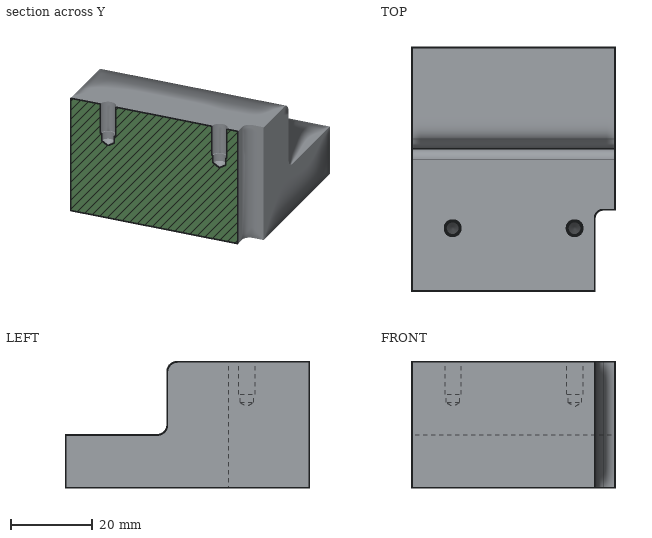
import cadquery as cq
import math

LENGTH_X = 49.95
LENGTH_Y = 60.0
HEIGHT = 31.0
LEDGE_HEIGHT = 13.0
LEDGE_DEPTH = 25.0
STEP_RADIUS = 2.5

NOTCH_X = 45.0
NOTCH_Y = 20.0
NOTCH_RADIUS = 2.0

HOLE_X_POSITIONS = (10.0, 40.0)
HOLE_Y = 15.5
THREAD_DIAMETER = 4.0
THREAD_DEPTH = 8.0
DRILL_DIAMETER = 3.3
DRILL_DEPTH = 10.0
DRILL_POINT_ANGLE = 118.0


def stepped_block():
    """Side profile in the YZ plane, extruded along X."""
    step_y = LENGTH_Y - LEDGE_DEPTH
    return (
        cq.Workplane("YZ")
        .lineTo(LENGTH_Y, 0)
        .lineTo(LENGTH_Y, LEDGE_HEIGHT)
        .lineTo(step_y + STEP_RADIUS, LEDGE_HEIGHT)
        .radiusArc((step_y, LEDGE_HEIGHT + STEP_RADIUS), STEP_RADIUS)
        .lineTo(step_y, HEIGHT - STEP_RADIUS)
        .radiusArc((step_y - STEP_RADIUS, HEIGHT), -STEP_RADIUS)
        .lineTo(0, HEIGHT)
        .close()
        .extrude(LENGTH_X)
    )


def corner_notch():
    """Cutter for the corner notch, with its inner corner rounded."""
    return (
        cq.Workplane("XY")
        .box(LENGTH_X - NOTCH_X, NOTCH_Y, HEIGHT, centered=False)
        .edges("|Z and <X and >Y")
        .fillet(NOTCH_RADIUS)
        .translate((NOTCH_X, 0, 0))
    )


def tapped_hole(x):
    """Cutter for one tapped hole: thread bore, tap drill and drill point."""
    thread_radius = THREAD_DIAMETER / 2
    drill_radius = DRILL_DIAMETER / 2
    point_length = drill_radius / math.tan(math.radians(DRILL_POINT_ANGLE / 2))
    return (
        cq.Workplane("XZ")
        .lineTo(thread_radius, 0)
        .lineTo(thread_radius, -THREAD_DEPTH)
        .lineTo(drill_radius, -THREAD_DEPTH)
        .lineTo(drill_radius, -DRILL_DEPTH)
        .lineTo(0, -DRILL_DEPTH - point_length)
        .close()
        .revolve(360, (0, 0, 0), (0, 1, 0))
        .translate((x, HOLE_Y, HEIGHT))
    )


result = stepped_block().cut(corner_notch())
for hole_x in HOLE_X_POSITIONS:
    result = result.cut(tapped_hole(hole_x))